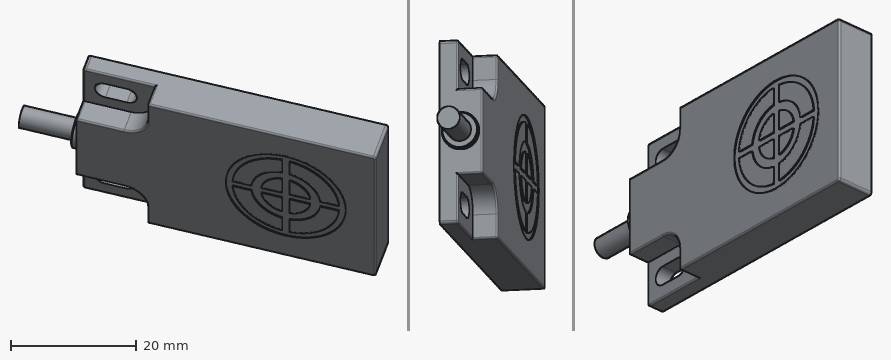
import cadquery as cq

body_length = 50.0
body_depth = 7.0
body_height = 30.0
edge_radius = 0.3
corner_radius = 0.5
back_y = body_depth / 2
face_y = -body_depth / 2

ear_length = 12.0
ear_height = 8.0
ear_thickness = 3.0
ear_corner_radius = 4.0
ear_floor_y = back_y - ear_thickness

slot_length = 7.0
slot_width = 3.4
slot_x = 5.5
slot_z = 10.9

cable_diameter = 3.7
cable_length = 10.0
collar_diameter = 6.0
collar_length = 1.0
collar_chamfer = 0.2

target_x = 35.0
target_diameter = 20.0
target_depth = 0.2
ring_outer_diameter = 17.8
ring_inner_diameter = 11.5
hub_diameter = 8.3
cross_width = 1.2
quadrant_corner_radius = 0.2


def face_sketch(y, x=0.0):
    """Sketch plane parallel to the working face: local x is X, local y is Z, normal is -Y."""
    return cq.Workplane("XZ", origin=(x, y, 0))


def make_ear_pocket(side):
    """Pocket in the top (side = 1) or bottom (side = -1) corner, with a rounded inner corner."""
    depth = ear_floor_y - face_y
    inner_z = side * (body_height / 2 - ear_height)
    block = (
        face_sketch(ear_floor_y)
        .center(0, side * body_height / 2)
        .rect(2 * ear_length, 2 * ear_height)
        .extrude(depth)
    )
    inner_corner = cq.NearestToPointSelector((ear_length, ear_floor_y - depth / 2, inner_z))
    return block.edges(inner_corner).fillet(ear_corner_radius)


def make_slots():
    return (
        face_sketch(back_y)
        .pushPoints([(slot_x, slot_z), (slot_x, -slot_z)])
        .slot2D(slot_length, slot_width)
        .extrude(body_depth)
    )


def ear_rim_points(side):
    """Points on the edges where an ear floor and its pocket walls meet the housing's outside."""
    side_z = side * body_height / 2
    inner_z = side * (body_height / 2 - ear_height)
    floor_z = (side_z + inner_z) / 2
    wall_y = (ear_floor_y + face_y) / 2
    return [
        (ear_length / 2, ear_floor_y, side_z),
        (0, ear_floor_y, floor_z),
        (ear_length, wall_y, side_z),
        (0, wall_y, inner_z),
    ]


def make_housing():
    """Block with two ears; its outer edges are rounded except those around the flat back."""
    block = cq.Workplane("XY").box(body_length, body_depth, body_height, centered=(False, True, True))
    block = block.edges("|Y").fillet(corner_radius)
    for side in (1, -1):
        block = block.cut(make_ear_pocket(side))
    rounded_edges = block.faces("<Y").edges()
    for side in (1, -1):
        for point in ear_rim_points(side):
            rounded_edges = rounded_edges.add(block.edges(cq.NearestToPointSelector(point)))
    return rounded_edges.fillet(edge_radius).cut(make_slots())


def make_cable():
    """Cable leaving the housing along -X through a short collar."""
    collar = cq.Workplane("YZ").circle(collar_diameter / 2).extrude(-collar_length)
    collar = collar.faces("<X").edges().chamfer(collar_chamfer)
    cable = cq.Workplane("YZ").circle(cable_diameter / 2).extrude(-cable_length)
    return collar.union(cable)


def make_target_groove():
    """Shallow disc whose ring and hub quadrants stay level with the working face."""
    sketch = face_sketch(face_y + target_depth, target_x)
    disc = sketch.circle(target_diameter / 2).extrude(target_depth)
    ring = sketch.circle(ring_outer_diameter / 2).circle(ring_inner_diameter / 2).extrude(target_depth)
    hub = sketch.circle(hub_diameter / 2).extrude(target_depth)
    upright = sketch.rect(cross_width, target_diameter).extrude(target_depth)
    crossbar = sketch.rect(target_diameter, cross_width).extrude(target_depth)
    quadrants = ring.union(hub).cut(upright).cut(crossbar)
    quadrants = quadrants.edges("|Y").fillet(quadrant_corner_radius)
    return disc.cut(quadrants)


result = make_housing().cut(make_target_groove()).union(make_cable())